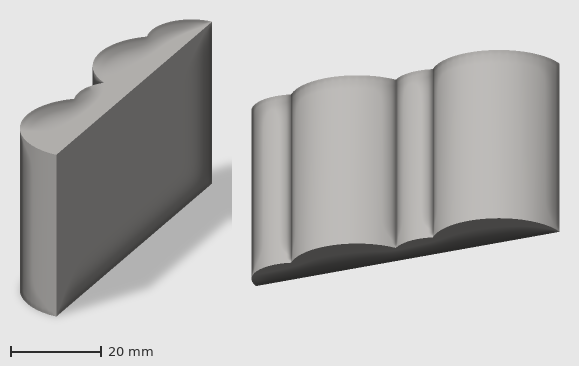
import cadquery as cq

length = 75.0
height = 40.0
large_radius = 15.0
small_radius = 10.0
lobe_offset = 15.0

first_large_y = large_radius
last_small_y = length - small_radius
second_large_y = last_small_y - lobe_offset


def half_cylinder(center_y, radius):
    """Upright half cylinder bulging toward -X from the flat back face."""
    return (
        cq.Workplane("XY")
        .moveTo(0, center_y - radius)
        .threePointArc((-radius, center_y), (0, center_y + radius))
        .close()
        .extrude(height)
    )


def lobe_pair(large_y):
    """Large lobe overlapped by a small one on its +Y side."""
    large_lobe = half_cylinder(large_y, large_radius)
    small_lobe = half_cylinder(large_y + lobe_offset, small_radius)
    return large_lobe.union(small_lobe)


result = lobe_pair(first_large_y).union(lobe_pair(second_large_y)).clean()